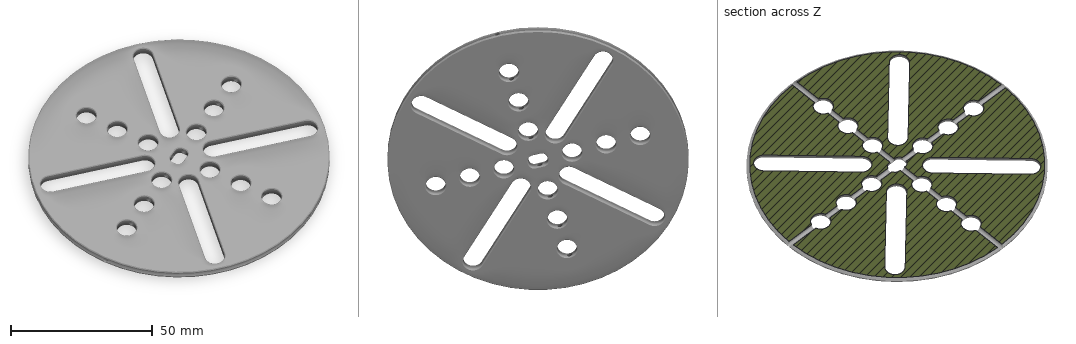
import cadquery as cq
disc_diameter = 106.2
thickness = 3.1
edge_chamfer = 0.3
disc_radius = disc_diameter / 2
mid_height = thickness / 2

bore_diameter = 2.0
bore_overrun = 1.1

groove_width = 1.5
groove_depth = 1.0

seam_angle = 37

hole_diameter = 7.0
holes_per_arm = 3
outer_hole_radius = 37.5
hole_pitch = outer_hole_radius / holes_per_arm
slot_inner_radius = hole_pitch
slot_outer_radius = 47.1

window_width = 5.0
window_length = 7.0
window_corner_radius = 2.0

arm_angles = [0, 90, 180, 270]
slot_angles = [45, 135, 225, 315]


def make_grooved_disc():
    """Revolve half of the plate's section, with the V-groove in its rim."""
    return (
        cq.Workplane("XZ")
        .lineTo(disc_radius, 0)
        .lineTo(disc_radius, mid_height - groove_width / 2)
        .lineTo(disc_radius - groove_depth, mid_height)
        .lineTo(disc_radius, mid_height + groove_width / 2)
        .lineTo(disc_radius, thickness)
        .lineTo(0, thickness)
        .close()
        .revolve(360, (0, 0, 0), (0, 1, 0))
        .rotate((0, 0, 0), (0, 0, 1), seam_angle)
    )


def cut_holes(plate):
    for angle in arm_angles:
        for position in range(1, holes_per_arm + 1):
            hole = (
                cq.Workplane("XY")
                .center(position * hole_pitch, 0)
                .circle(hole_diameter / 2)
                .extrude(thickness)
                .rotate((0, 0, 0), (0, 0, 1), angle)
            )
            plate = plate.cut(hole)
    return plate


def cut_slots(plate):
    centre_radius = (slot_inner_radius + slot_outer_radius) / 2
    slot_length = slot_outer_radius - slot_inner_radius + hole_diameter
    for angle in slot_angles:
        slot = (
            cq.Workplane("XY")
            .center(centre_radius, 0)
            .slot2D(slot_length, hole_diameter)
            .extrude(thickness)
            .rotate((0, 0, 0), (0, 0, 1), angle)
        )
        plate = plate.cut(slot)
    return plate


def cut_window(plate):
    window = (
        cq.Workplane("XY")
        .rect(window_width, window_length)
        .extrude(thickness)
        .edges("|Z")
        .fillet(window_corner_radius)
    )
    return plate.cut(window)


def chamfer_faces(plate):
    """Break every edge of the two flat faces: the rim and all openings."""
    return plate.faces("<Z or >Z").edges().chamfer(edge_chamfer)


def cut_cross_bores(plate):
    for angle in arm_angles:
        bore = (
            cq.Workplane("YZ", origin=(0, 0, mid_height))
            .transformed(rotate=(0, 0, seam_angle))
            .circle(bore_diameter / 2)
            .extrude(disc_radius + bore_overrun)
            .rotate((0, 0, 0), (0, 0, 1), angle)
        )
        plate = plate.cut(bore)
    return plate


plate = make_grooved_disc()
plate = cut_holes(plate)
plate = cut_slots(plate)
plate = cut_window(plate)
plate = chamfer_faces(plate)
result = cut_cross_bores(plate)